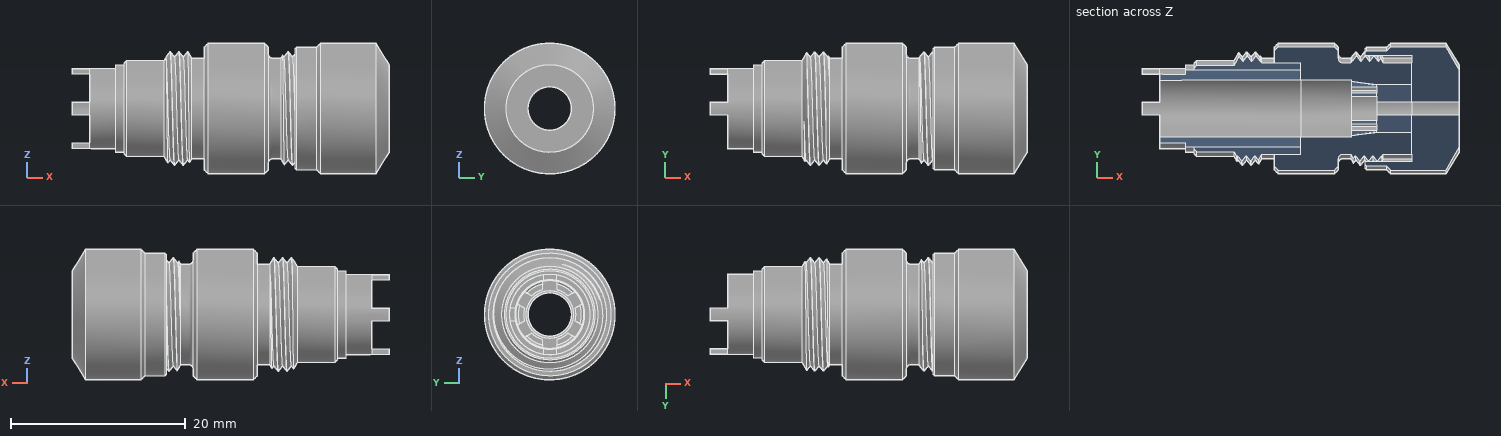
import cadquery as cq
import math

TOTAL_LENGTH = 36.3
OUTER_DIAMETER = 15.0

TAB_LENGTH = 2.0
TAB_WIDTH = 1.5
TAB_ANGLES = (0, 90, 270)
INSERT_NOSE_RADIUS = 4.6
INSERT_NOSE_END = 4.95
INSERT_RADIUS = 5.0
MAIN_BORE_RADIUS = 4.0

TWO_TURN_ADVANCE = 2.0
THREAD_PITCH = TWO_TURN_ADVANCE / 2
THREAD_CREST_RADIUS = 6.5
THREAD_ROOT_RADIUS = 5.92
THREAD_CHAMFER_ANGLE = 60.0
COLLAR_BORE_RADIUS = 5.25
THREAD_CREST_FLAT = 0.05
GROOVE_OVERSHOOT = 0.1

FRONT_SHELL_START = 5.92
FRONT_SHELL_CHAMFER = 0.33
BARREL_RADIUS = 5.52
NECK_RADIUS = 5.77
FRONT_THREAD_START = 10.53
FRONT_THREAD_END = 13.7
FRONT_CREST_POSITION = 11.22

GRIP_START = 15.1
GRIP_END = 22.48
GRIP_RADIUS = OUTER_DIAMETER / 2
GRIP_CHAMFER = 0.47
SHELL_JOINT = 18.15
NECK_FILLET = 0.47
REAR_THREAD_START = 23.9
REAR_THREAD_END = 27.6
REAR_CREST_POSITION = 24.73
REAR_SHELL_END = 30.85

CAGE_START = 23.95
CAGE_LENGTH = 2.9
CAGE_FRONT_RADIUS = 3.9
SEAL_RADIUS = 3.6
CAGE_CORE_RADIUS = 2.98
CAGE_BORE_RADIUS = 2.72
CABLE_BORE_RADIUS = 2.47
FINGER_COUNT = 6
FINGER_WIDTH = 1.65
FIRST_FINGER_ANGLE = 30.0
CAGE_END = CAGE_START + CAGE_LENGTH

CAP_START = 25.5
CAP_EDGE_CHAMFER = 0.2
CAP_COLLAR_RADIUS = 7.05
CAP_COLLAR_END = 28.0
CAP_TAPER_START = 34.8
CAP_END_RADIUS = 5.0


def revolve_profile(points):
    """Turn a closed outline of (x, radius) points around the X axis."""
    return cq.Workplane("XY").polyline(points).close().revolve(360, (0, 0, 0), (1, 0, 0))


def tube(start, end, outer_radius, inner_radius):
    return (
        cq.Workplane("YZ", origin=(start, 0, 0))
        .circle(outer_radius)
        .circle(inner_radius)
        .extrude(end - start)
    )


def spoke(angle, start, length, width, reach):
    """A straight bar from the axis out to its reach, turned by an angle from +Y towards +Z."""
    bar = cq.Workplane("XY").box(length, reach, width, centered=(False, False, True))
    return bar.rotate((0, 0, 0), (1, 0, 0), angle).translate((start, 0, 0))


def half_turn_groove():
    """Right-handed V-groove cutter, half a turn long, that starts on the -Z side at x = 0."""
    crest_depth = THREAD_CREST_RADIUS - THREAD_ROOT_RADIUS
    top_depth = crest_depth + GROOVE_OVERSHOOT
    top_half_width = (THREAD_PITCH - THREAD_CREST_FLAT) / 2 * top_depth / crest_depth
    helix = cq.Wire.makeHelix(THREAD_PITCH, THREAD_PITCH / 2, THREAD_ROOT_RADIUS)
    groove = (
        cq.Workplane("XZ")
        .polyline([
            (THREAD_ROOT_RADIUS, 0),
            (THREAD_ROOT_RADIUS + top_depth, -top_half_width),
            (THREAD_ROOT_RADIUS + top_depth, top_half_width),
        ])
        .close()
        .sweep(cq.Workplane(helix), isFrenet=True)
    )
    return groove.rotate((0, 0, 0), (0, 1, 0), 90)


def threaded_collar(start, end, start_radius, end_radius, crest_position):
    """A threaded ring with both ends chamfered; crest_position is a crest on the +Z side."""
    slope = math.tan(math.radians(THREAD_CHAMFER_ANGLE))
    collar = revolve_profile([
        (start, COLLAR_BORE_RADIUS),
        (start, start_radius),
        (start + (THREAD_CREST_RADIUS - start_radius) / slope, THREAD_CREST_RADIUS),
        (end - (THREAD_CREST_RADIUS - end_radius) / slope, THREAD_CREST_RADIUS),
        (end, end_radius),
        (end, COLLAR_BORE_RADIUS),
    ])
    groove = half_turn_groove()
    pitches_before = math.ceil((crest_position - start) / THREAD_PITCH) + 1
    first_turn = crest_position - pitches_before * THREAD_PITCH
    half_turns = math.ceil(2 * (end - first_turn) / THREAD_PITCH) + 1
    for index in range(half_turns):
        turned = groove.rotate((0, 0, 0), (1, 0, 0), 180 * index)
        collar = collar.cut(turned.translate((first_turn + index * THREAD_PITCH / 2, 0, 0)))
    return collar


def make_insert():
    """Stepped sleeve with three tabs reaching forward from its nose."""
    insert = tube(TAB_LENGTH, INSERT_NOSE_END, INSERT_NOSE_RADIUS, MAIN_BORE_RADIUS)
    insert = insert.union(tube(INSERT_NOSE_END, SHELL_JOINT, INSERT_RADIUS, MAIN_BORE_RADIUS))
    tab_ring = tube(0, TAB_LENGTH, INSERT_NOSE_RADIUS, MAIN_BORE_RADIUS)
    for angle in TAB_ANGLES:
        tab_bar = spoke(angle, 0, TAB_LENGTH, TAB_WIDTH, INSERT_RADIUS)
        insert = insert.union(tab_ring.intersect(tab_bar))
    return insert


def make_front_shell():
    """Barrel around the insert, with a thread and a neck that enters the rear shell."""
    shell = revolve_profile([
        (FRONT_SHELL_START, INSERT_RADIUS),
        (FRONT_SHELL_START, BARREL_RADIUS - FRONT_SHELL_CHAMFER),
        (FRONT_SHELL_START + FRONT_SHELL_CHAMFER, BARREL_RADIUS),
        (FRONT_THREAD_END, BARREL_RADIUS),
        (FRONT_THREAD_END, NECK_RADIUS),
        (SHELL_JOINT, NECK_RADIUS),
        (SHELL_JOINT, INSERT_RADIUS),
    ])
    collar = threaded_collar(
        FRONT_THREAD_START, FRONT_THREAD_END, BARREL_RADIUS, NECK_RADIUS, FRONT_CREST_POSITION,
    )
    return shell.union(collar)


def make_rear_shell():
    """Grip, filleted neck and rear thread, bored for the front shell, the cage and the seal."""
    fillet_middle = NECK_FILLET * (1 - math.sqrt(0.5))
    shell = (
        cq.Workplane("XY")
        .moveTo(GRIP_START, NECK_RADIUS)
        .lineTo(GRIP_START, GRIP_RADIUS - GRIP_CHAMFER)
        .lineTo(GRIP_START + GRIP_CHAMFER, GRIP_RADIUS)
        .lineTo(GRIP_END - GRIP_CHAMFER, GRIP_RADIUS)
        .lineTo(GRIP_END, GRIP_RADIUS - GRIP_CHAMFER)
        .lineTo(GRIP_END, NECK_RADIUS + NECK_FILLET)
        .threePointArc(
            (GRIP_END + fillet_middle, NECK_RADIUS + fillet_middle),
            (GRIP_END + NECK_FILLET, NECK_RADIUS),
        )
        .lineTo(REAR_SHELL_END, NECK_RADIUS)
        .lineTo(REAR_SHELL_END, SEAL_RADIUS)
        .lineTo(CAGE_END, SEAL_RADIUS)
        .lineTo(CAGE_START, CAGE_FRONT_RADIUS)
        .lineTo(CAGE_START, MAIN_BORE_RADIUS)
        .lineTo(SHELL_JOINT, MAIN_BORE_RADIUS)
        .lineTo(SHELL_JOINT, NECK_RADIUS)
        .close()
        .revolve(360, (0, 0, 0), (1, 0, 0))
    )
    collar = threaded_collar(
        REAR_THREAD_START, REAR_THREAD_END, NECK_RADIUS, NECK_RADIUS, REAR_CREST_POSITION,
    )
    return shell.union(collar)


def make_cage():
    """Tapered clamping cage: a core ring with radial fingers, open between the fingers."""
    envelope = revolve_profile([
        (CAGE_START, CAGE_BORE_RADIUS),
        (CAGE_START, CAGE_FRONT_RADIUS),
        (CAGE_END, SEAL_RADIUS),
        (CAGE_END, CAGE_BORE_RADIUS),
    ])
    star = tube(CAGE_START, CAGE_END, CAGE_CORE_RADIUS, CAGE_BORE_RADIUS)
    for index in range(FINGER_COUNT):
        angle = FIRST_FINGER_ANGLE + index * 360 / FINGER_COUNT
        star = star.union(spoke(angle, CAGE_START, CAGE_LENGTH, FINGER_WIDTH, MAIN_BORE_RADIUS))
    return envelope.intersect(star)


def make_seal():
    """Cable seal behind the cage."""
    return tube(CAGE_END, REAR_SHELL_END, SEAL_RADIUS, CABLE_BORE_RADIUS)


def make_cap_nut():
    """Cap over the rear thread, with a collar at its mouth and a tapered end."""
    collar_step = GRIP_RADIUS - CAP_COLLAR_RADIUS
    return revolve_profile([
        (CAP_START, THREAD_CREST_RADIUS),
        (CAP_START, CAP_COLLAR_RADIUS - CAP_EDGE_CHAMFER),
        (CAP_START + CAP_EDGE_CHAMFER, CAP_COLLAR_RADIUS),
        (CAP_COLLAR_END, CAP_COLLAR_RADIUS),
        (CAP_COLLAR_END + collar_step, GRIP_RADIUS),
        (CAP_TAPER_START, GRIP_RADIUS),
        (TOTAL_LENGTH, CAP_END_RADIUS),
        (TOTAL_LENGTH, CABLE_BORE_RADIUS),
        (REAR_SHELL_END, CABLE_BORE_RADIUS),
        (REAR_SHELL_END, THREAD_CREST_RADIUS),
    ])


insert = make_insert()
front_shell = make_front_shell()
rear_shell = make_rear_shell()
cage = make_cage()
seal = make_seal()
cap_nut = make_cap_nut()

result = cq.Compound.makeCompound([
    insert.val(),
    front_shell.val(),
    rear_shell.val(),
    cage.val(),
    seal.val(),
    cap_nut.val(),
])